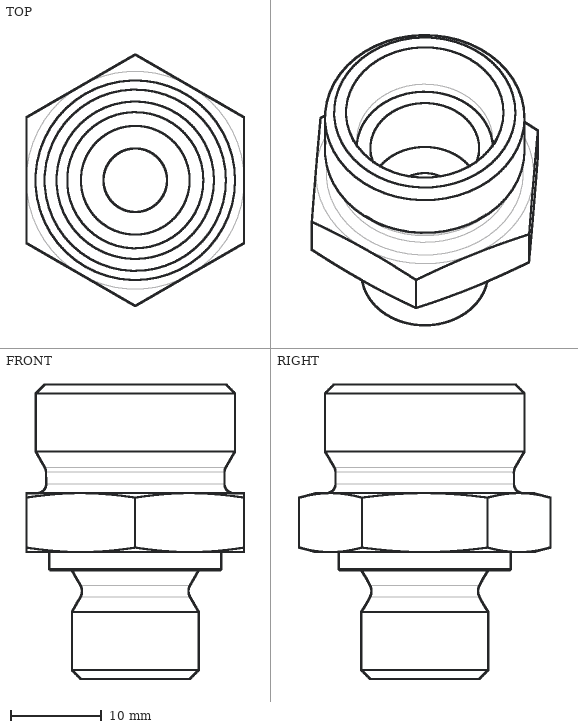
import cadquery as cq
import math

total_height = 32.5
hex_bottom = 14.0
hex_height = 6.5
hex_top = hex_bottom + hex_height
collar_bottom = 12.0
port_thread_bottom = 25.1
stud_thread_top = 7.4

hex_across_flats = 24.02
hex_chamfer_angle = 15.0
hex_corner_angle = 30.0
envelope_clearance = 0.32
port_diameter = 22.0
port_neck_diameter = 19.7
collar_diameter = 19.0
collar_chamfer = 0.15
stud_diameter = 14.0
end_chamfer = 1.0
relief_angle = 30.0
port_neck_fillet = 1.0
stud_neck_fillet = 1.27

mouth_diameter = 17.35
seat_half_angle = 12.0
tube_diameter = 15.0
tube_stop_depth = 7.0
upper_bore_diameter = 12.0
upper_bore_bottom = 16.9
drill_half_angle = 60.0
through_diameter = 7.0


def cone_height(large_diameter, small_diameter, half_angle):
    """Axial length of a cone between two diameters."""
    return (large_diameter - small_diameter) / 2 / math.tan(math.radians(half_angle))


def revolve_profile(profile):
    """Revolve an XZ profile about the Z axis."""
    return profile.close().revolve(360, (0, 0, 0), (0, 1, 0))


def round_circle_at(body, radius, level, fillet):
    """Fillet the circular edge with the given radius and height."""
    margin = 0.03
    reach = radius + margin
    selector = cq.selectors.BoxSelector(
        (-reach, -reach, level - margin), (reach, reach, level + margin), boundingbox=True
    )
    return body.edges(selector).fillet(fillet)


def make_port():
    """Upper threaded end with its relief neck."""
    radius = port_diameter / 2
    neck_radius = port_neck_diameter / 2
    cone_bottom = port_thread_bottom - cone_height(port_diameter, port_neck_diameter, relief_angle)
    port = revolve_profile(
        cq.Workplane("XZ")
        .moveTo(0, hex_top)
        .lineTo(neck_radius, hex_top)
        .lineTo(neck_radius, cone_bottom)
        .lineTo(radius, port_thread_bottom)
        .lineTo(radius, total_height - end_chamfer)
        .lineTo(radius - end_chamfer, total_height)
        .lineTo(0, total_height)
    )
    return round_circle_at(port, neck_radius, cone_bottom, port_neck_fillet)


def make_stud():
    """Lower threaded end, its V-shaped relief and the sealing collar."""
    radius = stud_diameter / 2
    collar_radius = collar_diameter / 2
    relief_level = (collar_bottom + stud_thread_top) / 2
    relief_depth = (collar_bottom - relief_level) * math.tan(math.radians(relief_angle))
    relief_radius = radius - relief_depth
    stud = revolve_profile(
        cq.Workplane("XZ")
        .lineTo(radius - end_chamfer, 0)
        .lineTo(radius, end_chamfer)
        .lineTo(radius, stud_thread_top)
        .lineTo(relief_radius, relief_level)
        .lineTo(radius, collar_bottom)
        .lineTo(collar_radius - collar_chamfer, collar_bottom)
        .lineTo(collar_radius, collar_bottom + collar_chamfer)
        .lineTo(collar_radius, hex_bottom)
        .lineTo(0, hex_bottom)
    )
    return round_circle_at(stud, relief_radius, relief_level, stud_neck_fillet)


def make_hex():
    """Hexagon with corners on Y and conical chamfers on both ends."""
    across_corners = hex_across_flats / math.cos(math.radians(hex_corner_angle))
    prism = (
        cq.Workplane("XY", origin=(0, 0, hex_bottom))
        .polygon(6, across_corners)
        .extrude(hex_height)
        .rotate((0, 0, 0), (0, 0, 1), hex_corner_angle)
    )
    flat_radius = hex_across_flats / 2
    outer_radius = across_corners / 2 + envelope_clearance
    drop = (outer_radius - flat_radius) * math.tan(math.radians(hex_chamfer_angle))
    envelope = revolve_profile(
        cq.Workplane("XZ")
        .moveTo(0, hex_bottom)
        .lineTo(flat_radius, hex_bottom)
        .lineTo(outer_radius, hex_bottom + drop)
        .lineTo(outer_radius, hex_top - drop)
        .lineTo(flat_radius, hex_top)
        .lineTo(0, hex_top)
    )
    return prism.intersect(envelope)


def make_bore():
    """Conical tube seat, tube stop, upper bore and through hole."""
    seat_bottom = total_height - cone_height(mouth_diameter, tube_diameter, seat_half_angle)
    stop_level = total_height - tube_stop_depth
    drill_tip_depth = cone_height(upper_bore_diameter, through_diameter, drill_half_angle)
    return revolve_profile(
        cq.Workplane("XZ")
        .lineTo(through_diameter / 2, 0)
        .lineTo(through_diameter / 2, upper_bore_bottom - drill_tip_depth)
        .lineTo(upper_bore_diameter / 2, upper_bore_bottom)
        .lineTo(upper_bore_diameter / 2, stop_level)
        .lineTo(tube_diameter / 2, stop_level)
        .lineTo(tube_diameter / 2, seat_bottom)
        .lineTo(mouth_diameter / 2, total_height)
        .lineTo(0, total_height)
    )


body = make_hex().union(make_port()).union(make_stud())
body = round_circle_at(body, port_neck_diameter / 2, hex_top, port_neck_fillet)
result = body.cut(make_bore())